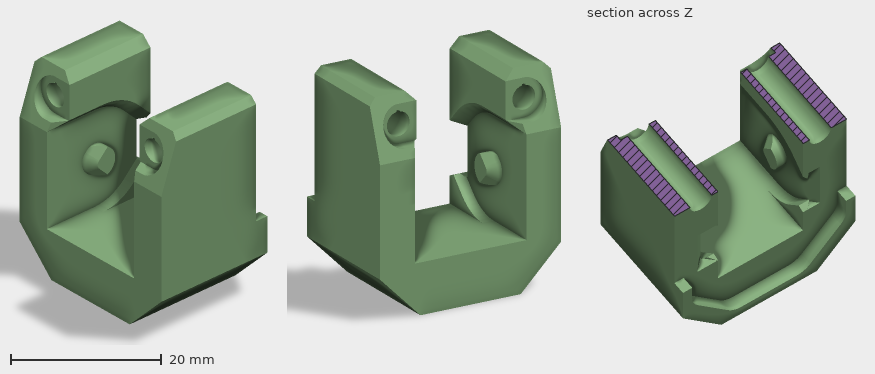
import cadquery as cq
import math

width = 28.0
depth = 19.0
height = 31.0
center_x = width / 2
base_chamfer = 6.25

floor_z = 7.5
channel_width = 13.8
wall_gap = 17.25
channel_side_x = center_x - channel_width / 2
wall_x = center_x - wall_gap / 2

leg_outer_chamfer = 1.0
leg_inner_chamfer = 1.45
front_slope_z = 22.5
front_slope_depth = 3.0

lip_thickness = 2.0
lip_z = 11.9
leg_back_y = depth - lip_thickness
lip_side = 1.5
lip_recess_floor_z = 1.5
lip_recess_chamfer = 6.75
lip_recess_radius = 3.0

hole_x = 4.3
hole_z = 26.75
hole_diameter = 3.5
counterbore_radius = 2.85
counterbore_floor_y = 2.5
notch_width = 0.55
notch_top = 1.95

pivot_y = 8.5
pivot_z = 15.0
pocket_radius = pivot_z - floor_z
pocket_mouth_radius = 9.1
front_bevel_width = 1.45
rib_back_drop = 0.4

boss_radius = 2.3
boss_height = 1.6
boss_nose_base_radius = 2.2
boss_nose_tip_radius = 0.85

left_groove_depth = 1.0
right_groove_depth = 1.65
groove_bottom_z = lip_z - rib_back_drop
groove_top_z = 19.5

DIAGONAL = math.sqrt(0.5)
clearance = 1.0


def block(x_from, x_to, y_from, y_to, z_from, z_to):
    sized = cq.Workplane("XY").box(x_to - x_from, y_to - y_from, z_to - z_from, centered=False)
    return sized.translate((x_from, y_from, z_from))


def both_sides(left):
    """Left-hand feature together with its mirror image about the middle plane."""
    return left.union(left.mirror("YZ", (center_x, 0, 0)))


def extrude_along_y(sketch, y_from, y_to):
    """Extrude a closed XZ sketch from one Y position to another."""
    return sketch.extrude(-(y_to - y_from)).translate((0, y_from, 0))


def make_body():
    outline = (
        cq.Workplane("XZ")
        .moveTo(base_chamfer, 0)
        .lineTo(width - base_chamfer, 0)
        .lineTo(width, base_chamfer)
        .lineTo(width, height)
        .lineTo(0, height)
        .lineTo(0, base_chamfer)
        .close()
    )
    body = extrude_along_y(outline, 0, depth)
    channel = block(
        channel_side_x, width - channel_side_x, -clearance, depth + clearance, floor_z, height + clearance
    )
    behind_legs = block(
        -clearance, width + clearance, leg_back_y, depth + clearance, lip_z, height + clearance
    )
    return body.cut(channel).cut(behind_legs)


def top_corner(corner_x, direction, size):
    """Wedge that bevels a long top edge; direction points into the leg."""
    outline = (
        cq.Workplane("XZ")
        .moveTo(corner_x, height)
        .lineTo(corner_x + direction * size, height)
        .lineTo(corner_x, height - size)
        .close()
    )
    return extrude_along_y(outline, 0, depth)


def front_slope():
    return (
        cq.Workplane("YZ")
        .moveTo(0, front_slope_z)
        .lineTo(front_slope_depth, height)
        .lineTo(0, height)
        .close()
        .extrude(width)
    )


def lip_recess():
    recess = (
        cq.Workplane("XZ")
        .moveTo(lip_side, height)
        .lineTo(lip_side, lip_recess_floor_z + lip_recess_chamfer)
        .lineTo(lip_side + lip_recess_chamfer, lip_recess_floor_z)
        .lineTo(width - lip_side - lip_recess_chamfer, lip_recess_floor_z)
        .lineTo(width - lip_side, lip_recess_floor_z + lip_recess_chamfer)
        .lineTo(width - lip_side, height)
        .close()
    )
    lower_corners = cq.selectors.BoxSelector(
        (0, leg_back_y - clearance, 0), (width, depth + clearance, lip_z)
    )
    sharp = extrude_along_y(recess, leg_back_y, depth)
    return sharp.edges("|Y").edges(lower_corners).fillet(lip_recess_radius)


def screw_hole():
    hole = extrude_along_y(cq.Workplane("XZ").center(hole_x, hole_z).circle(hole_diameter / 2), 0, depth)
    notch = block(
        hole_x - notch_width / 2, hole_x + notch_width / 2, 0, depth, hole_z, hole_z + notch_top
    )
    bore = extrude_along_y(
        cq.Workplane("XZ").center(hole_x, hole_z).circle(counterbore_radius), 0, counterbore_floor_y
    )
    bore_side_opening = block(
        hole_x,
        channel_side_x,
        0,
        counterbore_floor_y,
        hole_z - counterbore_radius,
        hole_z + counterbore_radius,
    )
    return hole.union(notch).union(bore).union(bore_side_opening)


def pocket_outline(sketch, upper_radius):
    """Pocket section: open to the front, round about the pivot, closing at 45 degrees to the back."""
    back_y = leg_back_y + clearance
    lower_tangent_y = pivot_y + pocket_radius * DIAGONAL
    lower_tangent_z = pivot_z - pocket_radius * DIAGONAL
    upper_tangent_y = pivot_y + upper_radius * DIAGONAL
    upper_tangent_z = pivot_z + upper_radius * DIAGONAL
    arc_middle = math.pi / 8
    return (
        sketch.moveTo(-clearance, floor_z)
        .lineTo(pivot_y, floor_z)
        .threePointArc(
            (pivot_y + pocket_radius * math.sin(arc_middle), pivot_z - pocket_radius * math.cos(arc_middle)),
            (lower_tangent_y, lower_tangent_z),
        )
        .lineTo(lower_tangent_y + lip_z - lower_tangent_z, lip_z)
        .lineTo(leg_back_y, lip_z - rib_back_drop)
        .lineTo(back_y, lip_z - rib_back_drop)
        .lineTo(back_y, upper_tangent_z - (back_y - upper_tangent_y))
        .lineTo(upper_tangent_y, upper_tangent_z)
        .threePointArc(
            (pivot_y + upper_radius * math.sin(arc_middle), pivot_z + upper_radius * math.cos(arc_middle)),
            (pivot_y, pivot_z + upper_radius),
        )
        .lineTo(-clearance, pivot_z + upper_radius)
        .close()
    )


def wall_pocket():
    at_wall = pocket_outline(cq.Workplane("YZ", origin=(wall_x, 0, 0)), pocket_radius)
    both_ends = at_wall.workplane(offset=channel_side_x - wall_x)
    return pocket_outline(both_ends, pocket_mouth_radius).loft(ruled=True)


def pocket_front_bevel():
    """Bevel below the counterbore, from the wall at the front to the counterbore floor."""
    return (
        cq.Workplane("XY", origin=(0, 0, front_slope_z))
        .moveTo(wall_x, 0)
        .lineTo(channel_side_x, 0)
        .lineTo(channel_side_x, counterbore_floor_y)
        .lineTo(wall_x + front_bevel_width, counterbore_floor_y)
        .close()
        .extrude(hole_z - counterbore_radius - front_slope_z)
    )


def boss_nose_outline(sketch, nose_radius):
    """Rounded nose towards the front with flanks spreading backwards at 45 degrees."""
    tangent = nose_radius * DIAGONAL
    spread = 2 * boss_radius
    return (
        sketch.moveTo(pivot_y - tangent + spread, pivot_z - tangent - spread)
        .lineTo(pivot_y - tangent, pivot_z - tangent)
        .threePointArc((pivot_y - nose_radius, pivot_z), (pivot_y - tangent, pivot_z + tangent))
        .lineTo(pivot_y - tangent + spread, pivot_z + tangent + spread)
        .close()
    )


def pivot_boss():
    base = boss_nose_outline(cq.Workplane("YZ", origin=(wall_x, 0, 0)), boss_nose_base_radius)
    nose = boss_nose_outline(base.workplane(offset=boss_height), boss_nose_tip_radius).loft(ruled=True)
    cylinder = (
        cq.Workplane("YZ", origin=(wall_x, 0, 0))
        .center(pivot_y, pivot_z)
        .circle(boss_radius)
        .extrude(boss_height)
    )
    return cylinder.intersect(nose)


def back_groove(apex_x, groove_depth):
    return (
        cq.Workplane("XY", origin=(0, 0, groove_bottom_z))
        .moveTo(apex_x - groove_depth, leg_back_y)
        .lineTo(apex_x, leg_back_y - groove_depth)
        .lineTo(apex_x + groove_depth, leg_back_y)
        .close()
        .extrude(groove_top_z - groove_bottom_z)
    )


result = (
    make_body()
    .cut(both_sides(top_corner(0, 1, leg_outer_chamfer)))
    .cut(both_sides(top_corner(channel_side_x, -1, leg_inner_chamfer)))
    .cut(front_slope())
    .cut(lip_recess())
    .cut(both_sides(screw_hole()))
    .cut(both_sides(wall_pocket()))
    .cut(both_sides(pocket_front_bevel()))
    .cut(back_groove(wall_x, left_groove_depth))
    .cut(back_groove(width - wall_x, right_groove_depth))
    .union(both_sides(pivot_boss()))
)